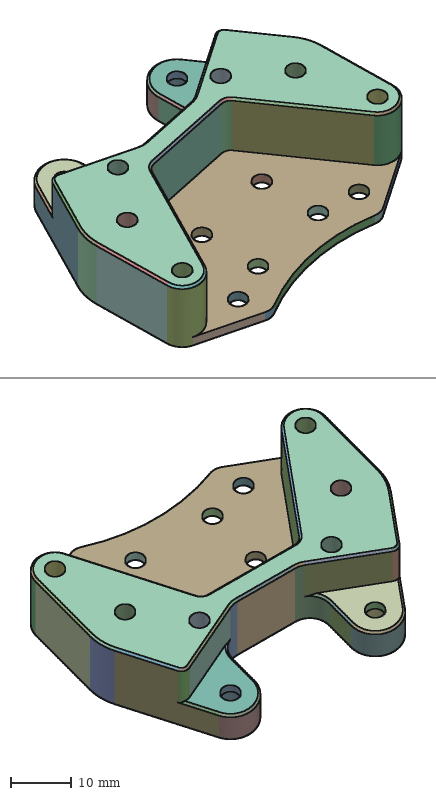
import cadquery as cq
import math

frame_height = 14.0
lug_height = 6.0
plate_thickness = 2.0
edge_chamfer = 0.4

arm_angle = math.radians(30)
arm_slope = math.tan(arm_angle)
side_lean = math.radians(25.5)

lug_y = 15.0
lug_radius = 5.0
lug_inner_y = lug_y - lug_radius
lug_root_radius = 4.0

half_width = 30.0
wall_outer_x = 10.0
wall_inner_x = 14.15
tip_x = 33.6
tip_radius = 4.0
tip_y = half_width - tip_radius
shoulder_radius = 10.0
step_corner_radius = 1.5
pocket_corner_radius = 2.0

plate_corner_y = 14.5
plate_corner_radius = 3.0
plate_middle_x = 40.55

hole_diameter = 3.4
hole_places = [
    (0, lug_y),
    (10.25, 13.7),
    (19.15, 22.4),
    (tip_x, tip_y),
    (37.55, 16.1),
    (23.45, 8.0),
    (35.35, 8.0),
]

counterbore_diameter = 5.8
seat_thickness = 1.7

round_end_reach = 1 / math.tan(arm_angle / 2)

lug_corner = (-lug_radius * round_end_reach, lug_inner_y)


def outer_edge_y(x):
    return lug_corner[1] + (x - lug_corner[0]) * arm_slope


shoulder_x = lug_corner[0] + (half_width - lug_corner[1]) / arm_slope

tip_corner = (tip_x + tip_radius * round_end_reach, half_width)
pocket_corner_y = half_width - (tip_corner[0] - wall_inner_x) * arm_slope

bend_y = lug_inner_y - lug_root_radius * (1 - math.tan(side_lean / 2))
step_rise = (outer_edge_y(wall_outer_x) - bend_y) / (1 + arm_slope * math.tan(side_lean))
step_corner = (wall_outer_x - step_rise * math.tan(side_lean), bend_y + step_rise)


def mirrored(half):
    """Add the reflections about the X axis, in reverse order so that outlines close."""
    return half + [(x, -y) for x, y in reversed(half)]


def round_corners(solid, corners, radius):
    """Fillet the upright edge at each corner."""
    for x, y in corners:
        nearest = cq.selectors.NearestToPointSelector((x, y, solid.val().BoundingBox().center.z))
        solid = solid.edges("|Z").edges(nearest).fillet(radius)
    return solid


def make_frame():
    bend = (wall_outer_x, bend_y)
    shoulder = (shoulder_x, half_width)
    pocket_corner = (wall_inner_x, pocket_corner_y)
    half = [bend, step_corner, shoulder, tip_corner, pocket_corner]
    frame = cq.Workplane("XY").polyline(mirrored(half)).close().extrude(frame_height)
    radii = [lug_root_radius, step_corner_radius, shoulder_radius, tip_radius, pocket_corner_radius]
    for corner, radius in zip(half, radii):
        frame = round_corners(frame, mirrored([corner]), radius)
    return frame.faces(">Z").edges().chamfer(edge_chamfer)


def make_lug():
    root = (wall_outer_x, lug_inner_y)
    outline = [
        lug_corner,
        root,
        (wall_outer_x, 0),
        (wall_inner_x, 0),
        (wall_outer_x, outer_edge_y(wall_outer_x)),
    ]
    lug = cq.Workplane("XY").polyline(outline).close().extrude(lug_height)
    lug = round_corners(lug, [lug_corner], lug_radius)
    lug = round_corners(lug, [root], lug_root_radius)
    return lug.faces(">Z").edges().chamfer(edge_chamfer)


def make_plate():
    side_x = tip_x + tip_radius * math.cos(side_lean)
    side_y = tip_y + tip_radius * math.sin(side_lean)
    corner_x = side_x + (side_y - plate_corner_y) * math.tan(side_lean)
    root_y = tip_y - (tip_x - wall_inner_x) * arm_slope
    plate = (
        cq.Workplane("XY")
        .moveTo(corner_x, -plate_corner_y)
        .threePointArc((plate_middle_x, 0), (corner_x, plate_corner_y))
        .lineTo(side_x, side_y)
        .lineTo(tip_x, tip_y)
        .lineTo(wall_inner_x, root_y)
        .lineTo(wall_inner_x, -root_y)
        .lineTo(tip_x, -tip_y)
        .lineTo(side_x, -side_y)
        .close()
        .extrude(plate_thickness)
    )
    return round_corners(plate, mirrored([(corner_x, plate_corner_y)]), plate_corner_radius)


def make_pins(places, diameter, height):
    """Cylinders standing on the base plane at the places and their reflections."""
    return (
        cq.Workplane("XY")
        .pushPoints(mirrored(places))
        .circle(diameter / 2)
        .extrude(height)
    )


lug = make_lug()
body = make_frame().union(lug).union(lug.mirror("XZ")).union(make_plate())
holes = make_pins(hole_places, hole_diameter, frame_height)
counterbores = make_pins([(0, lug_y)], counterbore_diameter, lug_height - seat_thickness)
result = body.cut(holes).cut(counterbores)